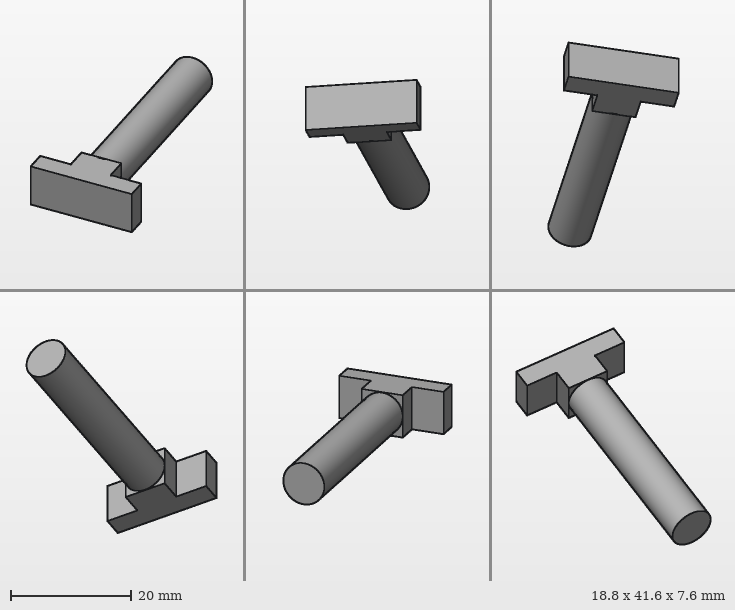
import cadquery as cq

total_length = 41.6
head_width = 18.8
height = 7.6

head_thickness = 3.6
neck_length = 4.0
shank_diameter = 7.4
neck_width = shank_diameter
neck_end = head_thickness + neck_length
shank_length = total_length - neck_end


def block(width, start, length):
    """Full-height block centred on X, running along +Y from start."""
    return (
        cq.Workplane("XY")
        .box(width, length, height, centered=(True, False, True))
        .translate((0, start, 0))
    )


head = block(head_width, 0, head_thickness)
neck = block(neck_width, head_thickness, neck_length)

shank = (
    cq.Workplane("XZ", origin=(0, neck_end, 0))
    .circle(shank_diameter / 2)
    .extrude(-shank_length)
)

result = head.union(neck).union(shank)